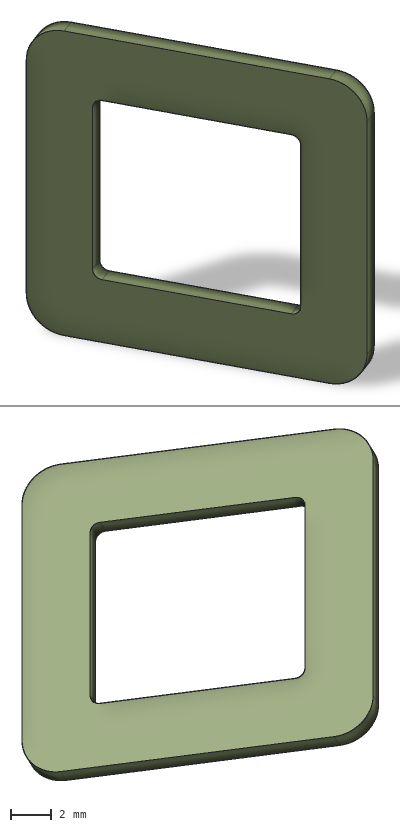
import cadquery as cq

width = 18.0
height = 17.0
thickness = 1.0
border = 3.5
outer_radius = 2.0
window_radius = 0.5

window_width = width - 2 * border
window_height = height - 2 * border


def rounded_plate(size_x, size_z, corner_radius):
    """Plate centred on the origin, with its four corners rounded about Y."""
    return cq.Workplane("XY").box(size_x, thickness, size_z).edges("|Y").fillet(corner_radius)


plate = rounded_plate(width, height, outer_radius)
window = rounded_plate(window_width, window_height, window_radius)
result = plate.cut(window)